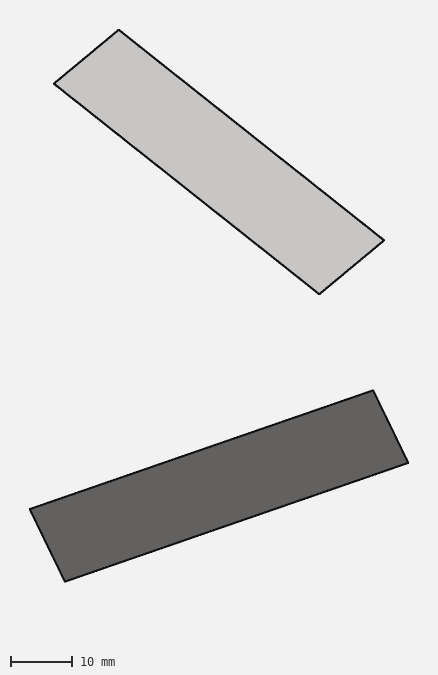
import cadquery as cq

length = 60.0
width = 15.0
thickness = 0.1

result = cq.Workplane("XY").box(length, width, thickness)